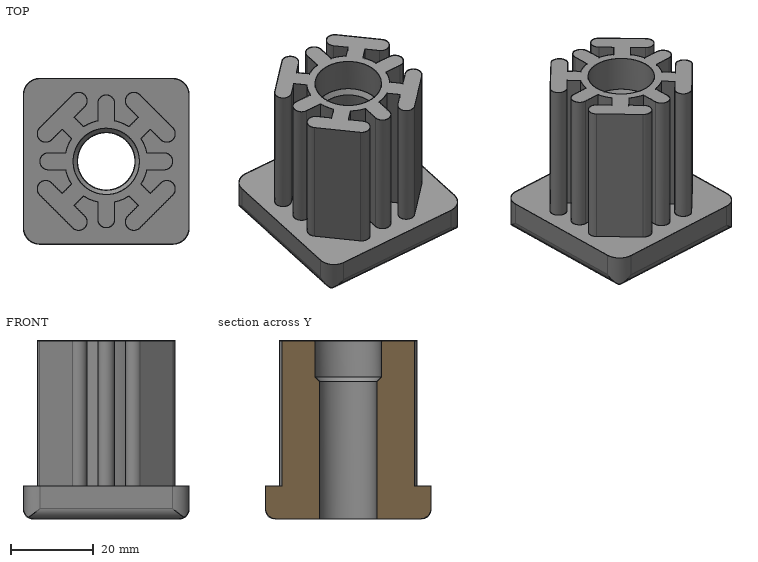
import cadquery as cq

plate_side = 40.0
plate_height = 8.0
plate_corner_radius = 4.0
plate_edge_radius = 2.5

total_height = 43.0
collar_diameter = 20.0
rib_width = 4.1
rib_reach = 16.0
foot_reach = 17.05
foot_length = 15.3

upper_bore_diameter = 16.0
lower_bore_diameter = 13.85
upper_bore_depth = 8.75

plug_height = total_height - plate_height


def make_plate():
    """Square cap with mitred round bottom edges and round vertical corners."""
    rounded_bottom = (
        cq.Workplane("XY")
        .box(plate_side, plate_side, plate_height, centered=(True, True, False))
        .faces("<Z").edges().fillet(plate_edge_radius)
    )
    rounded_corners = (
        cq.Workplane("XY")
        .box(plate_side, plate_side, plate_height, centered=(True, True, False))
        .edges("|Z").fillet(plate_corner_radius)
    )
    return rounded_bottom.intersect(rounded_corners)


def plug_plane():
    return cq.Workplane("XY").workplane(offset=plate_height)


def make_straight_rib():
    """Rib along +X from the axis, with a round tip."""
    tip_center = rib_reach - rib_width / 2
    web = plug_plane().center(tip_center / 2, 0).rect(tip_center, rib_width).extrude(plug_height)
    tip = plug_plane().center(tip_center, 0).circle(rib_width / 2).extrude(plug_height)
    return web.union(tip)


def make_footed_rib():
    """T-shaped rib along +X, whose crossbar has round ends."""
    foot_center = foot_reach - rib_width / 2
    web = plug_plane().center(foot_center / 2, 0).rect(foot_center, rib_width).extrude(plug_height)
    foot = plug_plane().center(foot_center, 0).slot2D(foot_length, rib_width, 90).extrude(plug_height)
    return web.union(foot)


def make_bore():
    """Through bore with a 45 degree step from the upper to the lower diameter."""
    upper_radius = upper_bore_diameter / 2
    lower_radius = lower_bore_diameter / 2
    step_top = total_height - upper_bore_depth
    step_bottom = step_top - (upper_radius - lower_radius)
    half_profile = [
        (0, 0),
        (lower_radius, 0),
        (lower_radius, step_bottom),
        (upper_radius, step_top),
        (upper_radius, total_height),
        (0, total_height),
    ]
    return cq.Workplane("XZ").polyline(half_profile).close().revolve(360, (0, 0), (0, 1))


collar = plug_plane().circle(collar_diameter / 2).extrude(plug_height)
body = make_plate().union(collar)
for quarter_turn in (0, 90, 180, 270):
    body = body.union(make_straight_rib().rotate((0, 0, 0), (0, 0, 1), quarter_turn))
    body = body.union(make_footed_rib().rotate((0, 0, 0), (0, 0, 1), quarter_turn + 45))

result = body.cut(make_bore())